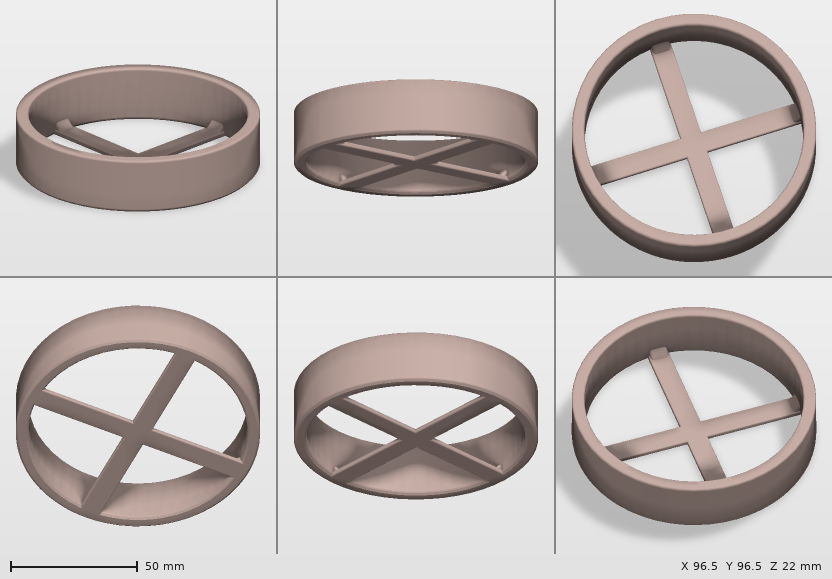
import cadquery as cq

outer_radius = 48.25
inner_radius = 43.2
ring_height = 22.0
rim_fillet = 1.0
base_chamfer = 1.0
base_edge_fillet = 0.8

arm_width = 8.5
arm_thickness = 2.0
arm_fillet = 0.6
arm_reach = (inner_radius + outer_radius) / 2

gusset_size = 3.0
gusset_width = arm_width - 2 * arm_fillet
gusset_fillet = 1.2
gusset_foot = inner_radius - gusset_size


def make_ring():
    """Tube with rounded top rims and softened chamfers on both bottom rims."""
    ring = cq.Workplane("XY").circle(outer_radius).circle(inner_radius).extrude(ring_height)
    ring = ring.faces("<Z").chamfer(base_chamfer)
    chamfer_tops = cq.selectors.BoxSelector(
        (-outer_radius, -outer_radius, base_chamfer / 2),
        (outer_radius, outer_radius, 2 * base_chamfer),
    )
    ring = ring.edges("%CIRCLE").edges(chamfer_tops).fillet(base_edge_fillet)
    return ring.faces(">Z").edges().fillet(rim_fillet)


def make_cross():
    """Two crossing flat arms with rounded long edges."""
    length = 2 * arm_reach
    centered = (True, True, False)
    cross = cq.Workplane("XY").box(length, arm_width, arm_thickness, centered=centered)
    cross = cross.union(cq.Workplane("XY").box(arm_width, length, arm_thickness, centered=centered))
    long_edges = cross.faces("<Z or >Z").edges("not (<X or >X or <Y or >Y)")
    return long_edges.fillet(arm_fillet)


def make_gusset():
    """45 degree wedge on the +X arm, with its two sloping edges rounded."""
    depth = arm_reach - gusset_foot
    embed = arm_thickness / 2
    wedge = (
        cq.Workplane("XZ")
        .moveTo(gusset_foot - embed, arm_thickness - embed)
        .lineTo(arm_reach, arm_thickness + depth)
        .lineTo(arm_reach, arm_thickness - embed)
        .close()
        .extrude(gusset_width / 2, both=True)
    )
    slope_edges = wedge.edges("not (|X or |Y or |Z)")
    return slope_edges.fillet(gusset_fillet)


result = make_ring().union(make_cross())
for index in range(4):
    result = result.union(make_gusset().rotate((0, 0, 0), (0, 0, 1), 90 * index))